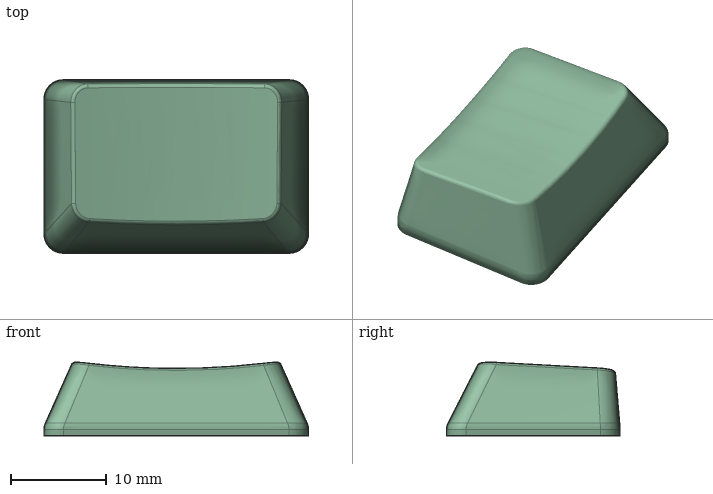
import cadquery as cq
import math

length = 27.7
width = 18.16

skirt_height = 0.66
wall_start_height = 1.33
blank_height = 9.41
side_angle = 24.5
front_angle = 27.0
back_angle = 4.8
corner_radius = 2.05
top_corner_radius = 1.83
band_steps = 4

dish_radius = 76.15
dish_tilt = 3.2
dish_center_height = 6.75
top_edge_radius = 0.42


def wall_inset(angle, height):
    """Distance of a wall in from the base outline: upright, then an arc, then straight."""
    slope = math.radians(angle)
    band_radius = (wall_start_height - skirt_height) / math.sin(slope)
    if height <= wall_start_height:
        arc_rise = height - skirt_height
        return band_radius - math.sqrt(band_radius**2 - arc_rise**2)
    arc_inset = band_radius * (1 - math.cos(slope))
    return arc_inset + (height - wall_start_height) * math.tan(slope)


def outline(height, radius, tilt=0):
    """Rounded rectangle between the walls, on a plane that rises toward the front by the tilt."""
    rise = math.tan(math.radians(tilt))
    front_slope = math.tan(math.radians(front_angle))
    back_slope = math.tan(math.radians(back_angle))
    front_y = (-width / 2 + wall_inset(front_angle, height)) / (1 + front_slope * rise)
    back_y = (width / 2 - wall_inset(back_angle, height)) / (1 - back_slope * rise)
    center_y = (front_y + back_y) / 2
    center = cq.Location(cq.Vector(0, center_y, height - center_y * rise), cq.Vector(1, 0, 0), -tilt)
    side_to_side = length - 2 * wall_inset(side_angle, height)
    front_to_back = (back_y - front_y) / math.cos(math.radians(tilt))
    sketch = cq.Sketch().rect(side_to_side, front_to_back)
    return sketch.vertices().fillet(radius).moved(center)


def make_body():
    """Upright skirt, curved band and flat sloping walls, with rounded corners."""
    skirt = cq.Workplane().placeSketch(outline(skirt_height, corner_radius)).extrude(-skirt_height)
    band_rise = wall_start_height - skirt_height
    band_heights = [skirt_height + band_rise * step / band_steps for step in range(band_steps + 1)]
    band = cq.Workplane().placeSketch(*[outline(height, corner_radius) for height in band_heights]).loft()
    wall_bottom = outline(wall_start_height, corner_radius)
    wall_top = outline(blank_height, top_corner_radius, dish_tilt)
    walls = cq.Workplane().placeSketch(wall_bottom, wall_top).loft(ruled=True)
    return skirt.union(band).union(walls)


def make_dish():
    """Cylinder that removes everything above the dished top."""
    axis_direction = cq.Vector(0, -1, math.tan(math.radians(dish_tilt)))
    axis_height = dish_center_height + dish_radius / math.cos(math.radians(dish_tilt))
    middle = cq.Vector(0, 0, axis_height)
    start = middle - axis_direction * width
    return cq.Workplane(cq.Solid.makeCylinder(dish_radius, 2 * width, start, axis_direction))


keycap = make_body().cut(make_dish())
dished_face = cq.selectors.NearestToPointSelector((0, 0, dish_center_height))
result = keycap.faces(dished_face).edges().fillet(top_edge_radius)